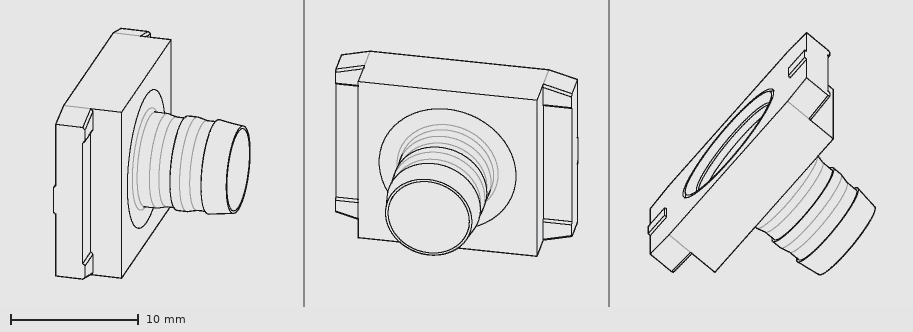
import cadquery as cq

plate_side = 14.3
plate_thickness = 4.72
overall_width = 18.9
ear_end_height = 13.08
ear_thickness = 2.4
ear_edge_chamfer = 0.19
relief_height = 10.35
relief_depth = 0.19

pad_length = 1.98
pad_height = 2.45
pad_thickness = 0.19

flange_radius = 5.48
flange_chamfer = 0.26
neck_fillet = 0.3

barb_radius = 3.75
groove_radius = 3.55
tip_radius = 3.45
first_land_end = 1.3
first_taper_end = 2.02
second_land_start = 2.97
second_land_end = 3.76
second_taper_end = 4.54
tip_barb_start = 5.5
nozzle_length = 7.48

bore_radius = 3.25
mouth_radius = flange_radius - flange_chamfer
seat_radius = 4.54
socket_radius = 4.46
seat_depth = 0.57
socket_start = 0.72
socket_depth = 1.29
funnel_depth = 2.02

half_width = overall_width / 2
half_plate = plate_side / 2


def make_ear():
    """Tapered ear on the +Y side, with a relief across its rear face."""
    ear_end = ear_end_height / 2
    ear = (
        cq.Workplane("YZ")
        .polyline([
            (half_plate, -half_plate),
            (half_width, -ear_end),
            (half_width, ear_end),
            (half_plate, half_plate),
        ])
        .close()
        .extrude(ear_thickness)
    )
    ear = ear.faces(">X").edges("not(|Y or |Z)").chamfer(ear_edge_chamfer)
    relief_half = relief_height / 2
    relief = (
        cq.Workplane("XZ", origin=(0, half_width, 0))
        .polyline([
            (ear_thickness - relief_depth, -relief_half),
            (ear_thickness, -relief_half - relief_depth),
            (ear_thickness, relief_half + relief_depth),
            (ear_thickness - relief_depth, relief_half),
        ])
        .close()
        .extrude(half_width - half_plate)
    )
    return ear.cut(relief)


def make_pad():
    """Bevelled pad on the front of the +Y ear."""
    root = pad_height / 2
    crest = root - pad_thickness
    return (
        cq.Workplane("XZ", origin=(0, half_width, 0))
        .polyline([(0, -root), (-pad_thickness, -crest), (-pad_thickness, crest), (0, root)])
        .close()
        .extrude(pad_length)
    )


def make_plate():
    """Square plate with mirrored ears and pads and a hole for the flange."""
    plate = cq.Workplane("YZ").rect(plate_side, plate_side).extrude(plate_thickness)
    for feature in (make_ear(), make_pad()):
        plate = plate.union(feature).union(feature.mirror("XZ"))
    hole = cq.Workplane("YZ").circle(flange_radius).extrude(plate_thickness)
    return plate.cut(hole)


def make_nozzle():
    """Barbed hose nozzle: one profile of (X, radius) revolved about X."""
    back = plate_thickness
    tip = back + nozzle_length
    fillet_offset = neck_fillet * (1 - 0.5 ** 0.5)
    profile = (
        cq.Workplane("XY")
        .moveTo(0, mouth_radius)
        .lineTo(flange_chamfer, flange_radius)
        .lineTo(back, flange_radius)
        .lineTo(back, barb_radius + neck_fillet)
        .threePointArc(
            (back + fillet_offset, barb_radius + fillet_offset),
            (back + neck_fillet, barb_radius),
        )
        .lineTo(back + first_land_end, barb_radius)
        .lineTo(back + first_taper_end, groove_radius)
        .lineTo(back + second_land_start, groove_radius)
        .lineTo(back + second_land_start, barb_radius)
        .lineTo(back + second_land_end, barb_radius)
        .lineTo(back + second_taper_end, groove_radius)
        .lineTo(back + tip_barb_start, groove_radius)
        .lineTo(back + tip_barb_start, barb_radius)
        .lineTo(tip, tip_radius)
        .lineTo(tip, bore_radius)
        .lineTo(funnel_depth, bore_radius)
        .lineTo(socket_depth, socket_radius)
        .lineTo(socket_start, socket_radius)
        .lineTo(seat_depth, seat_radius)
        .close()
    )
    return profile.revolve(360, (0, 0, 0), (1, 0, 0))


plate = make_plate()
nozzle = make_nozzle()

result = cq.Compound.makeCompound([plate.solids().val(), nozzle.val()])